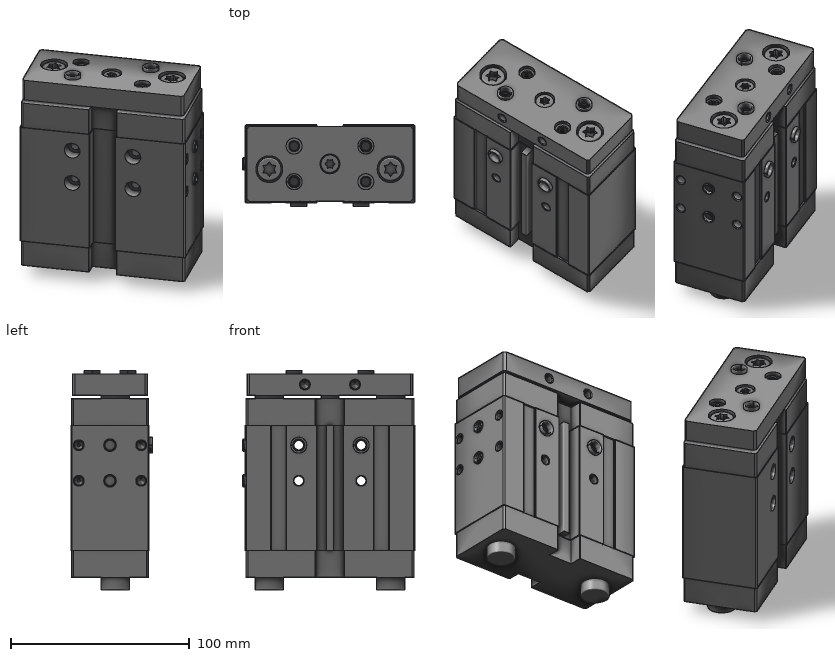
import cadquery as cq
import math


ROD_OVERHANG = 7.0
CAP_HEIGHT = 15.0
HOUSING_HEIGHT = 70.0
YOKE_GAP = 1.8
YOKE_HEIGHT = 12.0
SLEEVE_PROTRUSION = 2.0

HOUSING_BOTTOM = ROD_OVERHANG + CAP_HEIGHT
HOUSING_TOP = HOUSING_BOTTOM + HOUSING_HEIGHT
TOP_CAP_TOP = HOUSING_TOP + CAP_HEIGHT
YOKE_BOTTOM = TOP_CAP_TOP + YOKE_GAP
YOKE_TOP = YOKE_BOTTOM + YOKE_HEIGHT

HOUSING_X, HOUSING_Y, HOUSING_CHAMFER = 94.9, 43.8, 0.7
CAP_X, CAP_Y, CAP_CHAMFER = 94.0, 43.0, 1.1
YOKE_X, YOKE_Y, YOKE_CHAMFER = 92.7, 42.0, 1.4
HOUSING_LEFT = -HOUSING_X / 2
HOUSING_FRONT = -HOUSING_Y / 2

CAP_CHANNEL_WIDTH, CAP_CHANNEL_DEPTH = 15.7, 7.7
CHANNEL_WIDTH, CHANNEL_DEPTH = 14.5, 8.6
RIB_WIDTH, RIB_SETBACK, RIB_FILLET = 3.9, 2.5, 0.5
EDGE_CHAMFER = 0.4

GROOVE_WIDTH, GROOVE_DEPTH, GROOVE_OFFSET = 8.1, 1.5, 28.7

GUIDE_ROD_DIAMETER, GUIDE_ROD_FILLET = 16.0, 0.6
GUIDE_ROD_OFFSET_X, GUIDE_ROD_Y = 33.9, -3.0
PISTON_ROD_DIAMETER = 10.0
HEAD_SEAT_DEPTH = 6.1
HEAD_RECESS = 0.9
SOCKET_DEPTH = 4.3
GUIDE_SEAT_DIAMETER, GUIDE_HEAD_DIAMETER, GUIDE_HEAD_FILLET = 15.0, 13.1, 1.0
GUIDE_SOCKET_TIP, GUIDE_SOCKET_VALLEY, GUIDE_SOCKET_ANGLE = 8.1, 5.4, 90
PISTON_SEAT_DIAMETER, PISTON_HEAD_DIAMETER, PISTON_HEAD_FILLET = 11.0, 10.0, 0.6
PISTON_SOCKET_TIP, PISTON_SOCKET_VALLEY, PISTON_SOCKET_ANGLE = 5.6, 4.0, 0
SOCKET_LOBES = 6

SLEEVE_DIAMETER, SLEEVE_BORE, SLEEVE_SLIT = 9.0, 6.8, 0.4
SLEEVE_SEAT_DEPTH = 2.2
TAPPED_DIAMETER, HOLE_MOUTH = 4.9, 6.0
DRILL_POINT_ANGLE = 118.0

YOKE_HOLE_X, YOKE_HOLE_Y = 20.0, 10.0
YOKE_FRONT_HOLE_X, YOKE_FRONT_HOLE_DEPTH = 14.0, 9.8

HOLE_LEVELS = (61.0, 80.9)
SLEEVE_LEVEL = max(HOLE_LEVELS)
THROUGH_HOLE_X, THROUGH_HOLE_DIAMETER = 17.4, 5.3
BACK_SEAT_DEPTH = 7.4
SIDE_HOLE_Y, SIDE_HOLE_DEPTH = 17.4, 24.5
PLUG_DIAMETER, PLUG_PROTRUSION, PLUG_CHAMFER = 7.0, 1.4, 0.5
PLUG_SEAT_DEPTH = 3.7
PLUG_RECESS_DIAMETER, PLUG_RECESS_DEPTH = 5.6, 2.5

GUIDE_ROD_POINTS = [(side * GUIDE_ROD_OFFSET_X, GUIDE_ROD_Y) for side in (-1, 1)]
ALONG_X = (1, 0, 0)
ALONG_Y = (0, 1, 0)
UP = (0, 0, 1)
DOWN = (0, 0, -1)


def block(size_x, size_y, bottom, height, chamfer):
    """Upright block centred on the Z axis, with chamfered upright edges."""
    body = cq.Workplane().box(size_x, size_y, height, centered=(True, True, False))
    return body.edges("|Z").chamfer(chamfer).translate((0, 0, bottom))


def cylinder(diameter, length, start, direction=UP):
    """Cylinder that runs from the centre of one end along a direction."""
    solid = cq.Solid.makeCylinder(diameter / 2, length, cq.Vector(*start), cq.Vector(*direction))
    return cq.Workplane(solid)


def cone(diameter, end_diameter, length, start, direction):
    """Cone or truncated cone that runs from its first end along a direction."""
    return cq.Workplane(
        cq.Solid.makeCone(diameter / 2, end_diameter / 2, length, cq.Vector(*start), cq.Vector(*direction))
    )


def mouth_chamfer(diameter, start, direction):
    """Cutter for the 45 degree lead-in of a hole of the given diameter."""
    return cone(HOLE_MOUTH, diameter, (HOLE_MOUTH - diameter) / 2, start, direction)


def blind_tapped_hole(start, direction, depth):
    """Cutter for a blind tapped hole with a lead-in and a drill point."""
    point_length = TAPPED_DIAMETER / 2 / math.tan(math.radians(DRILL_POINT_ANGLE / 2))
    point_start = cq.Vector(*start) + cq.Vector(*direction) * depth
    hole = cylinder(TAPPED_DIAMETER, depth, start, direction)
    hole = hole.union(cone(TAPPED_DIAMETER, 0, point_length, point_start.toTuple(), direction))
    return hole.union(mouth_chamfer(TAPPED_DIAMETER, start, direction))


def channel(width, depth, x, face_y, bottom, height):
    """Cutter for an upright channel in the front or back face at face_y, with chamfered mouth edges."""
    inward = -math.copysign(1, face_y)
    half_floor = width / 2
    half_mouth = half_floor + EDGE_CHAMFER
    section = [
        (half_mouth, 0), (half_floor, inward * EDGE_CHAMFER), (half_floor, inward * depth),
        (-half_floor, inward * depth), (-half_floor, inward * EDGE_CHAMFER), (-half_mouth, 0),
    ]
    return cq.Workplane().polyline(section).close().extrude(height).translate((x, face_y, bottom))


def torx_socket(tip_diameter, valley_diameter, tip_angle, x, y, top):
    """Cutter for a star-shaped driver socket with one tip at tip_angle from +X."""
    points = []
    for i in range(2 * SOCKET_LOBES):
        angle = math.radians(tip_angle) + i * math.pi / SOCKET_LOBES
        radius = (valley_diameter if i % 2 else tip_diameter) / 2
        points.append((radius * math.cos(angle), radius * math.sin(angle)))
    star = cq.Workplane().polyline(points).close().extrude(SOCKET_DEPTH)
    return star.translate((x, y, top - SOCKET_DEPTH))


def end_cap(bottom):
    """Cap with a channel at the front and back and bores for the guide rods."""
    body = block(CAP_X, CAP_Y, bottom, CAP_HEIGHT, CAP_CHAMFER)
    for face_y in (-CAP_Y / 2, CAP_Y / 2):
        body = body.cut(channel(CAP_CHANNEL_WIDTH, CAP_CHANNEL_DEPTH, 0, face_y, bottom, CAP_HEIGHT))
    for x, y in GUIDE_ROD_POINTS:
        body = body.cut(cylinder(GUIDE_ROD_DIAMETER, CAP_HEIGHT, (x, y, bottom)))
    return body


bottom_cap = end_cap(ROD_OVERHANG)
top_cap = end_cap(HOUSING_TOP).cut(cylinder(PISTON_ROD_DIAMETER, CAP_HEIGHT, (0, 0, HOUSING_TOP)))


def housing_profile():
    """Profile with a channel at the front and back, a rib in the front one, and two front grooves."""
    body = block(HOUSING_X, HOUSING_Y, HOUSING_BOTTOM, HOUSING_HEIGHT, HOUSING_CHAMFER)
    for face_y in (HOUSING_FRONT, -HOUSING_FRONT):
        body = body.cut(channel(CHANNEL_WIDTH, CHANNEL_DEPTH, 0, face_y, HOUSING_BOTTOM, HOUSING_HEIGHT))
    for x in (-GROOVE_OFFSET, GROOVE_OFFSET):
        body = body.cut(channel(GROOVE_WIDTH, GROOVE_DEPTH, x, HOUSING_FRONT, HOUSING_BOTTOM, HOUSING_HEIGHT))
    return body.union(channel_rib())


def channel_rib():
    """Upright rib on the floor of the front channel."""
    depth = CHANNEL_DEPTH - RIB_SETBACK
    rib = cq.Workplane().box(RIB_WIDTH, depth, HOUSING_HEIGHT, centered=(True, False, False))
    rib = rib.edges("|Z and <Y").fillet(RIB_FILLET)
    return rib.translate((0, HOUSING_FRONT + RIB_SETBACK, HOUSING_BOTTOM))


def through_hole(x, z, front_seat_depth):
    """Cutter for a hole from front to back, with a back seat and, for a sleeve, a front seat."""
    front = (x, HOUSING_FRONT, z)
    mouth = (x, HOUSING_FRONT + front_seat_depth, z)
    hole = cylinder(THROUGH_HOLE_DIAMETER, HOUSING_Y, front, ALONG_Y)
    hole = hole.union(mouth_chamfer(THROUGH_HOLE_DIAMETER, mouth, ALONG_Y))
    if front_seat_depth:
        hole = hole.union(cylinder(SLEEVE_DIAMETER, front_seat_depth, front, ALONG_Y))
    back_seat_start = (x, -HOUSING_FRONT - BACK_SEAT_DEPTH, z)
    return hole.union(cylinder(SLEEVE_DIAMETER, BACK_SEAT_DEPTH, back_seat_start, ALONG_Y))


def make_housing():
    body = housing_profile()
    for x, y in GUIDE_ROD_POINTS:
        body = body.cut(cylinder(GUIDE_ROD_DIAMETER, HOUSING_HEIGHT, (x, y, HOUSING_BOTTOM)))
    body = body.cut(cylinder(PISTON_ROD_DIAMETER, HOUSING_HEIGHT, (0, 0, HOUSING_BOTTOM)))
    for z in HOLE_LEVELS:
        front_seat_depth = SLEEVE_SEAT_DEPTH if z == SLEEVE_LEVEL else 0
        for side in (-1, 1):
            body = body.cut(through_hole(side * THROUGH_HOLE_X, z, front_seat_depth))
            side_start = (HOUSING_LEFT, side * SIDE_HOLE_Y, z)
            body = body.cut(blind_tapped_hole(side_start, ALONG_X, SIDE_HOLE_DEPTH))
        body = body.cut(cylinder(PLUG_DIAMETER, PLUG_SEAT_DEPTH, (HOUSING_LEFT, 0, z), ALONG_X))
    return body


housing = make_housing()


def yoke_plate():
    """Yoke plate with four sleeve seats over tapped holes and two tapped holes in its front."""
    body = block(YOKE_X, YOKE_Y, YOKE_BOTTOM, YOKE_HEIGHT, YOKE_CHAMFER)
    for x in (-YOKE_HOLE_X, YOKE_HOLE_X):
        for y in (-YOKE_HOLE_Y, YOKE_HOLE_Y):
            seat_floor = (x, y, YOKE_TOP - SLEEVE_SEAT_DEPTH)
            body = body.cut(cylinder(SLEEVE_DIAMETER, SLEEVE_SEAT_DEPTH, seat_floor))
            body = body.cut(cylinder(TAPPED_DIAMETER, YOKE_HEIGHT, (x, y, YOKE_BOTTOM)))
            body = body.cut(mouth_chamfer(TAPPED_DIAMETER, seat_floor, DOWN))
    for x in (-YOKE_FRONT_HOLE_X, YOKE_FRONT_HOLE_X):
        start = (x, -YOKE_Y / 2, YOKE_BOTTOM + YOKE_HEIGHT / 2)
        body = body.cut(blind_tapped_hole(start, ALONG_Y, YOKE_FRONT_HOLE_DEPTH))
    return body


def add_screw_head(body, x, y, seat_diameter, head_diameter, head_fillet, socket):
    """Sink a seat into the yoke plate and raise a socket screw head in it."""
    seat_floor = (x, y, YOKE_TOP - HEAD_SEAT_DEPTH)
    head = cylinder(head_diameter, HEAD_SEAT_DEPTH - HEAD_RECESS, seat_floor)
    head = head.faces(">Z").edges().fillet(head_fillet)
    head = head.cut(torx_socket(*socket, x, y, YOKE_TOP - HEAD_RECESS))
    return body.cut(cylinder(seat_diameter, HEAD_SEAT_DEPTH, seat_floor)).union(head)


def make_slide():
    body = yoke_plate()
    for x, y in GUIDE_ROD_POINTS:
        rod = cylinder(GUIDE_ROD_DIAMETER, YOKE_BOTTOM, (x, y, 0))
        body = body.union(rod.faces("<Z").edges().fillet(GUIDE_ROD_FILLET))
        body = add_screw_head(
            body, x, y, GUIDE_SEAT_DIAMETER, GUIDE_HEAD_DIAMETER, GUIDE_HEAD_FILLET,
            (GUIDE_SOCKET_TIP, GUIDE_SOCKET_VALLEY, GUIDE_SOCKET_ANGLE),
        )
    piston_rod = cylinder(PISTON_ROD_DIAMETER, YOKE_BOTTOM - HOUSING_BOTTOM, (0, 0, HOUSING_BOTTOM))
    return add_screw_head(
        body.union(piston_rod), 0, 0, PISTON_SEAT_DIAMETER, PISTON_HEAD_DIAMETER, PISTON_HEAD_FILLET,
        (PISTON_SOCKET_TIP, PISTON_SOCKET_VALLEY, PISTON_SOCKET_ANGLE),
    )


slide = make_slide()


def centring_sleeve():
    """Sleeve standing on Z = 0, with fully rounded rims and its slit toward -X."""
    length = SLEEVE_SEAT_DEPTH + SLEEVE_PROTRUSION
    outer, inner = SLEEVE_DIAMETER / 2, SLEEVE_BORE / 2
    middle, rim_radius = (outer + inner) / 2, (outer - inner) / 2
    wall = cq.Workplane("XZ").moveTo(outer, rim_radius).lineTo(outer, length - rim_radius)
    wall = wall.threePointArc((middle, length), (inner, length - rim_radius)).lineTo(inner, rim_radius)
    wall = wall.threePointArc((middle, 0), (outer, rim_radius)).close()
    sleeve = wall.revolve(360, (0, 0, 0), (0, 1, 0))
    slit = cq.Workplane().box(SLEEVE_DIAMETER, SLEEVE_SLIT, length, centered=(True, True, False))
    return sleeve.cut(slit.translate((-SLEEVE_DIAMETER / 2, 0, 0)))


sleeves = []
for side in (-1, 1):
    top_floor = (side * YOKE_HOLE_X, side * YOKE_HOLE_Y, YOKE_TOP - SLEEVE_SEAT_DEPTH)
    sleeves.append(centring_sleeve().translate(top_floor))
    front_floor = (side * THROUGH_HOLE_X, HOUSING_FRONT + SLEEVE_SEAT_DEPTH, SLEEVE_LEVEL)
    sleeves.append(centring_sleeve().rotate((0, 0, 0), ALONG_X, 90).translate(front_floor))


def port_plug(z):
    """Plug in the left face, with a chamfered rim and a round recess."""
    outer_x = HOUSING_LEFT - PLUG_PROTRUSION
    plug = cylinder(PLUG_DIAMETER, PLUG_PROTRUSION + PLUG_SEAT_DEPTH, (outer_x, 0, z), ALONG_X)
    plug = plug.faces("<X").edges().chamfer(PLUG_CHAMFER)
    return plug.cut(cylinder(PLUG_RECESS_DIAMETER, PLUG_RECESS_DEPTH, (outer_x, 0, z), ALONG_X))


plugs = [port_plug(z) for z in HOLE_LEVELS]

bodies = [housing, bottom_cap, top_cap, slide, *sleeves, *plugs]
result = cq.Compound.makeCompound([body.val() for body in bodies])